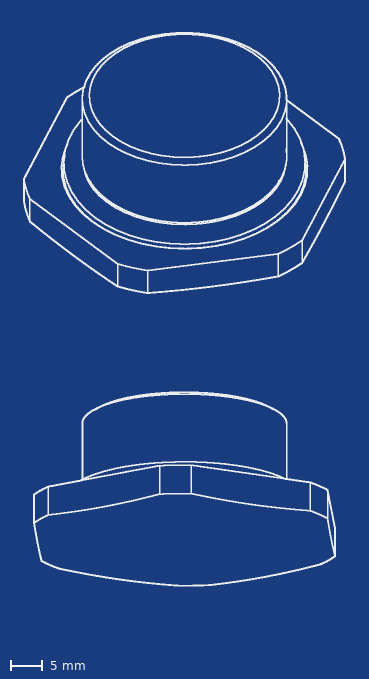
import cadquery as cq
import math

HEAD_DIAMETER = 50.45
ACROSS_FLATS = 46.0
HEAD_THICKNESS = 5.0
HEAD_RELIEF_HEIGHT = 0.35
HEX_SIDES = 6

PLUG_DIAMETER = 32.0
PLUG_TIP_DIAMETER = 29.8
NECK_DIAMETER = 30.0
NECK_HEIGHT = 2.5
TOTAL_HEIGHT = 20.0
TIP_CHAMFER_ANGLE = 30.0

RING_OUTER_DIAMETER = 37.75
RING_SECTION_DIAMETER = 3.1
SEAT_FLOOR_DIAMETER = 38.0
SEAT_RIM_DIAMETER = 38.5
SEAT_DEPTH = 0.25

plug_radius = PLUG_DIAMETER / 2
neck_radius = NECK_DIAMETER / 2
neck_top_z = HEAD_THICKNESS + NECK_HEIGHT
tip_radius = PLUG_TIP_DIAMETER / 2
tip_chamfer_height = (plug_radius - tip_radius) * math.tan(math.radians(TIP_CHAMFER_ANGLE))
seat_floor_radius = SEAT_FLOOR_DIAMETER / 2
seat_rim_radius = SEAT_RIM_DIAMETER / 2
seat_floor_z = HEAD_THICKNESS - SEAT_DEPTH
ring_section_radius = RING_SECTION_DIAMETER / 2
ring_centre_radius = RING_OUTER_DIAMETER / 2 - ring_section_radius


def revolve_profile(points):
    """Revolve (radius, height) points about the Z axis."""
    return cq.Workplane("XZ").polyline(points).close().revolve(360, (0, 0, 0), (0, 1, 0))


def make_head():
    """Hexagon with flats facing +/-X, rounded corners and a conical underside."""
    across_corners = ACROSS_FLATS / math.cos(math.pi / HEX_SIDES)
    hexagon = (
        cq.Workplane("XY")
        .polygon(HEX_SIDES, across_corners)
        .extrude(HEAD_THICKNESS)
        .rotate((0, 0, 0), (0, 0, 1), 180 / HEX_SIDES)
    )
    envelope = revolve_profile([
        (0, 0),
        (ACROSS_FLATS / 2, 0),
        (HEAD_DIAMETER / 2, HEAD_RELIEF_HEIGHT),
        (HEAD_DIAMETER / 2, HEAD_THICKNESS),
        (0, HEAD_THICKNESS),
    ])
    return hexagon.intersect(envelope)


def make_seat_cutter():
    """Shallow annular recess around the neck, with a sloping outer wall."""
    return revolve_profile([
        (neck_radius, seat_floor_z),
        (seat_floor_radius, seat_floor_z),
        (seat_rim_radius, HEAD_THICKNESS),
        (neck_radius, HEAD_THICKNESS),
    ])


def make_plug_shank():
    """Round shank with a narrower neck for the ring and a shallow chamfer at the tip."""
    return revolve_profile([
        (0, seat_floor_z),
        (neck_radius, seat_floor_z),
        (neck_radius, neck_top_z),
        (plug_radius, neck_top_z),
        (plug_radius, TOTAL_HEIGHT - tip_chamfer_height),
        (tip_radius, TOTAL_HEIGHT),
        (0, TOTAL_HEIGHT),
    ])


def make_screw_plug():
    """Head and shank in one piece, with the ring seat cut into the head."""
    return make_head().cut(make_seat_cutter()).union(make_plug_shank())


def make_sealing_ring():
    """O-ring that surrounds the neck and rests on the seat floor."""
    return (
        cq.Workplane("XZ")
        .center(ring_centre_radius, seat_floor_z + ring_section_radius)
        .circle(ring_section_radius)
        .revolve(360, (-ring_centre_radius, 0, 0), (-ring_centre_radius, 1, 0))
    )


screw_plug = make_screw_plug()
sealing_ring = make_sealing_ring()

result = cq.Compound.makeCompound([screw_plug.solids().val(), sealing_ring.val()])